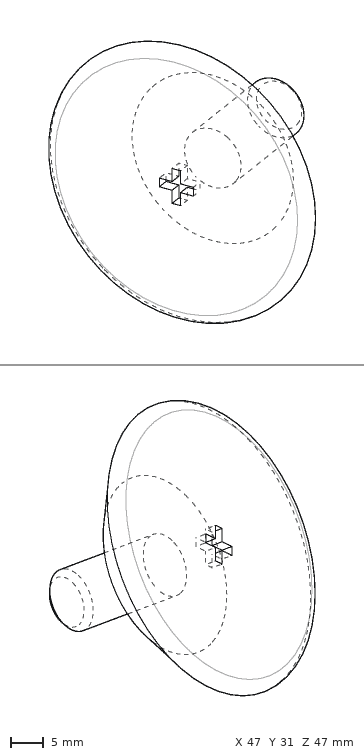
import cadquery as cq

base_diameter = 47.0
base_height = 11.0
rim_radius = 2.0
shoulder_diameter = 28.58

stud_diameter = 10.0
overall_length = 31.0
tip_chamfer_length = 1.0
tip_chamfer_inset = 1.0

cross_span = 6.0
cross_arm_width = 1.5
cross_depth = 2.0


def revolved_body():
    """Base and stud as one profile turned about the Y axis."""
    base_radius = base_diameter / 2
    stud_radius = stud_diameter / 2
    rim_centre_x = base_radius - rim_radius
    diagonal = rim_radius * 0.5**0.5
    profile = (
        cq.Workplane("XY")
        .lineTo(rim_centre_x, 0)
        .threePointArc(
            (rim_centre_x + diagonal, rim_radius - diagonal),
            (base_radius, rim_radius),
        )
        .lineTo(shoulder_diameter / 2, base_height)
        .lineTo(stud_radius, base_height)
        .lineTo(stud_radius, overall_length - tip_chamfer_length)
        .lineTo(stud_radius - tip_chamfer_inset, overall_length)
        .lineTo(0, overall_length)
        .close()
    )
    return profile.revolve(360, (0, 0, 0), (0, 1, 0))


def cross_recess():
    """Two crossed bars reaching from the flat face into the base."""
    centred_in_x_and_z = (True, False, True)
    bar_x = cq.Workplane("XY").box(cross_span, cross_depth, cross_arm_width, centered=centred_in_x_and_z)
    bar_z = cq.Workplane("XY").box(cross_arm_width, cross_depth, cross_span, centered=centred_in_x_and_z)
    return bar_x.union(bar_z)


result = revolved_body().cut(cross_recess())